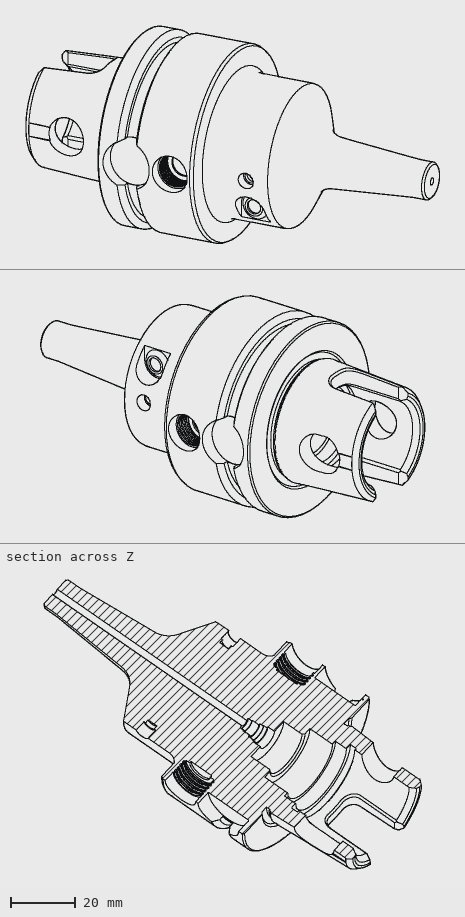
import cadquery as cq
import math


total_length = 132.0
shank_chamfer_length = 1.7
shank_taper_end = 30.4
neck_step_end = 31.2
flange_start = 31.8
flange_end = 64.8
groove_rim_start = 38.3
groove_floor_start = 39.9
groove_floor_end = 43.8
groove_rim_end = 45.1
nose_fillet_end = 68.1
nose_end = 85.7
nose_chamfer = 0.8
nose_chamfer_drop = 0.1
tip_start = 126.7

shank_end_radius = 17.0
shank_taper_start_radius = 18.5
shank_taper_end_radius = 20.0
neck_step_radius = 19.7
neck_radius = 19.3
face_relief_radius = 21.5
face_relief_depth = 0.7
flange_radius = 63.0 / 2
cut_reach = flange_radius + 1.3
flange_edge_chamfer = 0.5
flange_rear_chamfer_length = 1.0
groove_shoulder_radius = 29.3
groove_floor_radius = 27.7
nose_radius = 23.0
nose_fillet_radius = 4.0
tip_radius = 12.0 / 2
tip_chamfer = 0.7

cone_angle = math.radians(60)
neck_taper_angle = math.radians(3)
cone_fillet_radius = 7.9
cone_end = 92.7

mouth_radius = 16.1
mouth_step_radius = 15.0
mouth_step_length = 0.4
mouth_chamfer_end = 2.4
shank_bore_radius = 13.9
shank_bore_end = 24.0
relief_groove_radius = 14.5
relief_groove_end = 26.3
bore_steps = [(30.6, 12.5), (39.6, 11.1)]
blind_bore_radius = 16.0 / 2
blind_bore_chamfer = 0.7
blind_bore_end = 47.5
screw_seat_steps = [
    (50.2, 3.4),
    (51.5, 6.0 / 2),
    (52.8, 5.5 / 2),
    (55.5, 4.5 / 2),
    (56.8, 4.0 / 2),
]
through_hole_radius = 2.2 / 2

slot_width = 14.0
slot_end = 20.3
slot_corner_radius = 4.0
slot_edge_chamfer = 0.7
slot_mouth_flare = 1.3
slot_flare_length = 2.8
cross_hole_x = 14.9
cross_hole_diameter = 12.5
rear_hole_offset = 2.1
flat_width = 4.5
flat_distance = 18.2

dimple_x = 41.8
dimple_diameter = 16.0
dimple_floor = 26.4
thread_x = 56.9
thread_diameter = 12.0
thread_core_diameter = 11.0
thread_floor = 21.8
thread_lead_in = 4.0
thread_pitch = 1.3
thread_ring_count = 4
core_hole_diameter = 8.0
core_hole_floor = 21.1

nose_hole_x = 79.0
small_hole_z = -1.2
small_hole_steps = [(19.1, 5.1), (17.8, 4.1), (16.5, 2.2)]
pocket_z = -12.0
pocket_width = 10.0
pocket_floor = 15.7
screw_top = 17.2
screw_embedding = 1.3
screw_diameter = 9.0
screw_chamfer = 1.5
socket_diameter = 4.6
socket_floor = 16.4
drill_point_angle = math.radians(60)


def turned_body():
    """Outer shape of the holder, revolved about the X axis."""
    cone_start = nose_end + nose_chamfer
    cone_start_radius = nose_radius - nose_chamfer_drop
    cone_end_radius = cone_start_radius - (cone_end - cone_start) * math.tan(cone_angle)

    arc_center_x = cone_end + cone_fillet_radius * math.sin(cone_angle)
    arc_center_r = cone_end_radius + cone_fillet_radius * math.cos(cone_angle)
    arc_middle_angle = (cone_angle + neck_taper_angle) / 2

    def arc_point(slope_angle):
        return (
            arc_center_x - cone_fillet_radius * math.sin(slope_angle),
            arc_center_r - cone_fillet_radius * math.cos(slope_angle),
        )

    fillet_rise = nose_fillet_radius - math.sqrt(
        nose_fillet_radius**2 - (nose_fillet_end - flange_end) ** 2
    )
    profile = (
        cq.Workplane("XY")
        .moveTo(0, 0)
        .lineTo(0, shank_end_radius)
        .lineTo(shank_chamfer_length, shank_taper_start_radius)
        .lineTo(shank_taper_end, shank_taper_end_radius)
        .lineTo(shank_taper_end, neck_step_radius)
        .lineTo(neck_step_end, neck_step_radius)
        .lineTo(neck_step_end, neck_radius)
        .lineTo(flange_start + face_relief_depth, neck_radius)
        .lineTo(flange_start + face_relief_depth, face_relief_radius)
        .lineTo(flange_start, face_relief_radius + face_relief_depth)
        .lineTo(flange_start, flange_radius - flange_edge_chamfer)
        .lineTo(flange_start + flange_edge_chamfer, flange_radius)
        .lineTo(groove_rim_start, flange_radius)
        .lineTo(groove_floor_start, groove_shoulder_radius)
        .lineTo(groove_floor_start, groove_floor_radius)
        .lineTo(groove_floor_end, groove_floor_radius)
        .lineTo(groove_floor_end, groove_shoulder_radius)
        .lineTo(groove_rim_end, flange_radius)
        .lineTo(flange_end - flange_rear_chamfer_length, flange_radius)
        .lineTo(flange_end, flange_radius - flange_edge_chamfer)
        .lineTo(flange_end, nose_radius + fillet_rise)
        .radiusArc((nose_fillet_end, nose_radius), -nose_fillet_radius)
        .lineTo(nose_end, nose_radius)
        .lineTo(cone_start, cone_start_radius)
        .lineTo(cone_end, cone_end_radius)
        .threePointArc(arc_point(arc_middle_angle), arc_point(neck_taper_angle))
        .lineTo(tip_start, tip_radius)
        .lineTo(total_length - tip_chamfer, tip_radius)
        .lineTo(total_length, tip_radius - tip_chamfer)
        .lineTo(total_length, 0)
        .close()
    )
    return profile.revolve(360, (0, 0, 0), (1, 0, 0))


def stepped_bore():
    """Bore from the open shank end down to the small through hole."""
    profile = (
        cq.Workplane("XY")
        .moveTo(0, 0)
        .lineTo(0, shank_bore_radius)
        .lineTo(shank_bore_end, shank_bore_radius)
        .lineTo(shank_bore_end, relief_groove_radius)
        .lineTo(relief_groove_end, relief_groove_radius)
    )
    x = relief_groove_end
    for end_x, radius in bore_steps:
        profile = profile.lineTo(x, radius).lineTo(end_x, radius)
        x = end_x
    profile = (
        profile.lineTo(x, blind_bore_radius + blind_bore_chamfer)
        .lineTo(x + blind_bore_chamfer, blind_bore_radius)
        .lineTo(blind_bore_end, blind_bore_radius)
    )
    x = blind_bore_end
    for end_x, radius in screw_seat_steps:
        profile = profile.lineTo(x, radius).lineTo(end_x, radius)
        x = end_x
    profile = (
        profile.lineTo(x, through_hole_radius)
        .lineTo(total_length, through_hole_radius)
        .lineTo(total_length, 0)
        .close()
    )
    return profile.revolve(360, (0, 0, 0), (1, 0, 0))


def bore_mouth():
    """Shallow and steep lead-in cones at the open end of the shank bore."""
    profile = (
        cq.Workplane("XY")
        .moveTo(0, 0)
        .lineTo(0, mouth_radius)
        .lineTo(mouth_step_length, mouth_step_radius)
        .lineTo(mouth_chamfer_end, shank_bore_radius)
        .lineTo(mouth_chamfer_end, 0)
        .close()
    )
    return profile.revolve(360, (0, 0, 0), (1, 0, 0))


def cylinder_in_front(x, z, diameter, floor, top=cut_reach):
    """Cylinder along Y between the planes y = -floor and y = -top."""
    plane = cq.Workplane("XZ", origin=(x, -floor, z))
    return plane.circle(diameter / 2).extrude(top - floor)


def cone_in_front(x, z, diameter, floor):
    """Drill point whose base lies on the plane y = -floor."""
    radius = diameter / 2
    depth = radius / math.tan(drill_point_angle)
    cone = cq.Solid.makeCone(radius, 0, depth, cq.Vector(x, -floor, z), cq.Vector(0, 1, 0))
    return cq.Workplane(obj=cone)


def on_both_sides(feature):
    """The feature together with its copy half a turn around X."""
    return feature.union(feature.rotate((0, 0, 0), (1, 0, 0), 180))


def cut_shank_slot(body):
    """Cut the driving slot across the shank, bevel its edges and flare its mouth."""
    slot = cq.Workplane("XY").box(2 * slot_end, slot_width, 2 * flange_radius)
    body = body.cut(slot.edges("|Z and >X").fillet(slot_corner_radius))

    tolerance = 0.01
    slot_zone = cq.selectors.BoxSelector(
        (tolerance, -slot_width / 2 - tolerance, -shank_taper_end_radius),
        (slot_end + tolerance, slot_width / 2 + tolerance, shank_taper_end_radius),
    )
    body = body.edges(slot_zone).edges("not |Z").chamfer(slot_edge_chamfer)

    half_width = slot_width / 2
    flare = (
        cq.Workplane("XY")
        .moveTo(0, half_width + slot_mouth_flare)
        .lineTo(slot_flare_length, half_width)
        .lineTo(slot_flare_length, -half_width)
        .lineTo(0, -half_width - slot_mouth_flare)
        .close()
        .extrude(flange_radius, both=True)
    )
    return body.cut(flare)


def cross_hole():
    """Hole through both shank walls, widened towards the open end in the +Y wall."""
    plane = cq.Workplane("XZ", origin=(cross_hole_x, 0, 0))
    hole = plane.circle(cross_hole_diameter / 2).extrude(flange_radius, both=True)
    rear_plane = cq.Workplane("XZ", origin=(cross_hole_x - rear_hole_offset, 0, 0))
    rear_hole = rear_plane.circle(cross_hole_diameter / 2).extrude(-flange_radius)
    return hole.union(rear_hole)


def shank_flat():
    """Narrow flat between the shank chamfer and the cross hole."""
    corner = (shank_chamfer_length, -flange_radius, -flat_width / 2)
    length = cross_hole_x - shank_chamfer_length
    depth = flange_radius - flat_distance
    return cq.Workplane("XY").box(length, depth, flat_width, centered=False).translate(corner)


def dimple():
    """Round flat-floored recess across the flange groove."""
    return cylinder_in_front(dimple_x, 0, dimple_diameter, dimple_floor)


def threaded_hole():
    """Blind hole with ring grooves for the thread and a core hole in its floor."""
    thread_start = flange_radius - thread_lead_in
    hole = cylinder_in_front(thread_x, 0, thread_diameter, thread_start)
    hole = hole.union(cylinder_in_front(thread_x, 0, thread_core_diameter, thread_floor))
    hole = hole.union(cylinder_in_front(thread_x, 0, core_hole_diameter, core_hole_floor))
    for ring in range(1, thread_ring_count + 1):
        ring_top = thread_start - (ring - 0.5) * thread_pitch
        ring_floor = ring_top - thread_pitch / 2
        hole = hole.union(cylinder_in_front(thread_x, 0, thread_diameter, ring_floor, ring_top))
    return hole


def small_nose_hole():
    """Stepped hole ending in a drill point."""
    floor, diameter = small_hole_steps[-1]
    hole = cone_in_front(nose_hole_x, small_hole_z, diameter, floor)
    for floor, diameter in small_hole_steps:
        hole = hole.union(cylinder_in_front(nose_hole_x, small_hole_z, diameter, floor))
    return hole


def screw_pocket():
    """Flat-floored pocket, round at the top and open towards -Z."""
    pocket = cylinder_in_front(nose_hole_x, pocket_z, pocket_width, pocket_floor)
    corner = (nose_hole_x - pocket_width / 2, -flange_radius, pocket_z - nose_radius)
    depth = flange_radius - pocket_floor
    run_out = cq.Workplane("XY").box(pocket_width, depth, nose_radius, centered=False)
    return pocket.union(run_out.translate(corner))


def screw_head():
    """Chamfered screw end standing on the pocket floor."""
    base = pocket_floor - screw_embedding
    head = cylinder_in_front(nose_hole_x, pocket_z, screw_diameter, base, screw_top)
    return head.faces("<Y").chamfer(screw_chamfer)


def screw_socket():
    """Round socket in the screw end, with a coned bottom."""
    socket = cylinder_in_front(nose_hole_x, pocket_z, socket_diameter, socket_floor)
    return socket.union(cone_in_front(nose_hole_x, pocket_z, socket_diameter, socket_floor))


result = turned_body().cut(stepped_bore())
result = cut_shank_slot(result).cut(bore_mouth()).cut(cross_hole())
for cutter in (shank_flat(), dimple(), threaded_hole(), small_nose_hole(), screw_pocket()):
    result = result.cut(on_both_sides(cutter))
result = result.union(on_both_sides(screw_head())).cut(on_both_sides(screw_socket()))